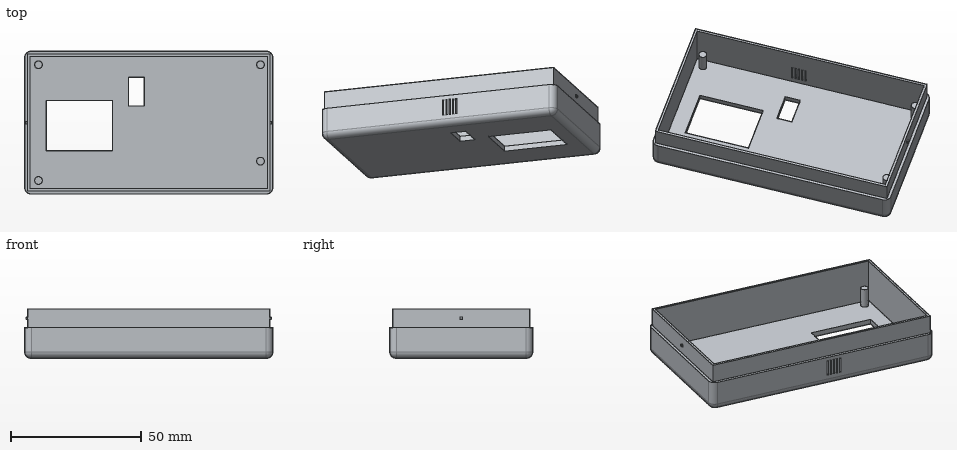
import cadquery as cq

LENGTH = 95.5
WIDTH = 55.0
HEIGHT = 19.0
CORNER_RADIUS = 2.6
BOTTOM_RADIUS = 2.5
FLOOR = 2.0

LIP_HEIGHT = 7.2
LIP_INSET = 1.1
LIP_WALL = 1.0
SHOULDER_Z = HEIGHT - LIP_HEIGHT
LIP_LENGTH = LENGTH - 2 * LIP_INSET
LIP_WIDTH = WIDTH - 2 * LIP_INSET
CAVITY_LENGTH = LIP_LENGTH - 2 * LIP_WALL
CAVITY_WIDTH = LIP_WIDTH - 2 * LIP_WALL

POST_DIAMETER = 3.0
POST_HEIGHT = 7.5
POST_LEFT_X = -42.4
POST_RIGHT_X = 43.0
POST_Y = 22.25
POST_OFFSET_Y = -14.8
POST_CENTERS = [
    (POST_LEFT_X, POST_Y),
    (POST_LEFT_X, -POST_Y),
    (POST_RIGHT_X, POST_Y),
    (POST_RIGHT_X, POST_OFFSET_Y),
]

DISPLAY_CENTER = (-26.6, -1.1)
DISPLAY_SIZE = (25.4, 19.2)
SWITCH_CENTER = (-4.8, 11.9)
SWITCH_SIZE = (6.0, 11.0)

VENT_COUNT = 5
VENT_PITCH = 1.3
VENT_WIDTH = 0.5
VENT_HEIGHT = 6.0
VENT_BOTTOM_Z = 4.2

SNAP_DIAMETER = 1.0
SNAP_LENGTH = 1.0
SNAP_AXIS_OFFSET = 0.2
SNAP_Z = SHOULDER_Z + LIP_HEIGHT / 2


def block(length, width, height, base_z):
    """Box centred on the Z axis, with its underside at base_z."""
    return cq.Workplane("XY").workplane(offset=base_z).rect(length, width).extrude(height)


def make_case():
    shell = block(LENGTH, WIDTH, SHOULDER_Z, 0).edges("|Z").fillet(CORNER_RADIUS)
    shell = shell.faces("<Z").edges().fillet(BOTTOM_RADIUS)
    lip = block(LIP_LENGTH, LIP_WIDTH, LIP_HEIGHT, SHOULDER_Z)
    cavity = block(CAVITY_LENGTH, CAVITY_WIDTH, HEIGHT - FLOOR, FLOOR)
    return shell.union(lip).cut(cavity)


def make_posts():
    return (
        cq.Workplane("XY")
        .workplane(offset=FLOOR)
        .pushPoints(POST_CENTERS)
        .circle(POST_DIAMETER / 2)
        .extrude(POST_HEIGHT)
    )


def make_window(center, size):
    return cq.Workplane("XY").center(*center).rect(*size).extrude(FLOOR)


def make_vents():
    wall = (WIDTH - CAVITY_WIDTH) / 2
    center_y = (WIDTH - wall) / 2
    center_z = VENT_BOTTOM_Z + VENT_HEIGHT / 2
    return (
        cq.Workplane("XY", origin=(SWITCH_CENTER[0], center_y, center_z))
        .rarray(VENT_PITCH, 1, VENT_COUNT, 1)
        .box(VENT_WIDTH, wall, VENT_HEIGHT)
    )


def make_snap(side):
    """Rounded ridge on the short lip wall; side is -1 or +1 along X."""
    return (
        cq.Workplane("XZ")
        .center(side * (LIP_LENGTH / 2 + SNAP_AXIS_OFFSET), SNAP_Z)
        .circle(SNAP_DIAMETER / 2)
        .extrude(SNAP_LENGTH / 2, both=True)
    )


result = make_case().union(make_posts())
result = result.cut(make_window(DISPLAY_CENTER, DISPLAY_SIZE))
result = result.cut(make_window(SWITCH_CENTER, SWITCH_SIZE))
result = result.cut(make_vents())
for side in (-1, 1):
    result = result.union(make_snap(side))